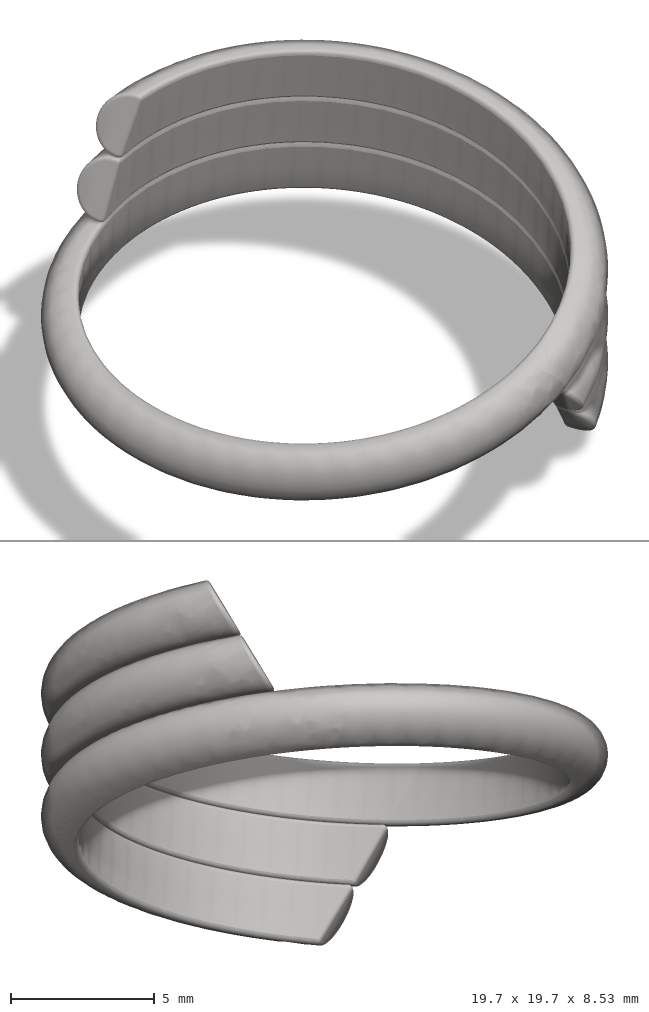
import cadquery as cq
import math

outer_radius = 9.86
inner_radius = 8.55
strand_width = 2.2
edge_radius = 0.14
end_tilt = 30.0
left_end_y = 0.0
right_end_y = -0.63
end_allowance = 13.0

cutter_length = 7.89
cutter_height = 6.31

pitch = 2 * strand_width
half_width = strand_width / 2
dome_center_radius = outer_radius - half_width
lower_start_z = -1.5 * strand_width
middle_start_z = -half_width
upper_start_z = half_width


def strand_profile(center_z):
    """D-shaped section in the XZ plane: flat bore side, domed outside."""
    return (
        cq.Workplane("XZ", origin=(0, 0, center_z))
        .moveTo(inner_radius, -half_width)
        .lineTo(inner_radius, half_width)
        .lineTo(dome_center_radius, half_width)
        .threePointArc((outer_radius, 0), (dome_center_radius, -half_width))
        .close()
    )


def long_strand(center_z, turn):
    """Untrimmed helical strand that starts at +X with its center at center_z."""
    swept_turn = turn + 2 * end_allowance
    start_z = center_z - pitch * end_allowance / 360
    helix = cq.Wire.makeHelix(pitch, pitch * swept_turn / 360, inner_radius)
    path = cq.Workplane(obj=helix.translate(cq.Vector(0, 0, start_z)))
    strand = strand_profile(start_z).sweep(path, isFrenet=True)
    return strand.rotate((0, 0, 0), (0, 0, 1), -end_allowance)


def end_cutter(side, center_z, direction):
    """Block beyond an end plane; side is +1 at +X or -1 at -X, direction the Y sign removed."""
    plane_y = right_end_y if side > 0 else left_end_y
    slide = center_z / math.cos(math.radians(end_tilt))
    return (
        cq.Workplane("XY")
        .box(outer_radius, cutter_length, cutter_height)
        .translate((side * outer_radius, direction * cutter_length / 2, slide))
        .rotate((0, 0, 0), (1, 0, 0), side * end_tilt)
        .translate((0, plane_y, 0))
    )


def bore_edges(strand):
    """The two long helical edges where the flat side meets the bore."""
    edges = []
    for edge in strand.edges().vals():
        middle = edge.positionAt(0.5)
        on_bore = math.hypot(middle.x, middle.y) < (inner_radius + dome_center_radius) / 2
        if on_bore and edge.Length() > inner_radius:
            edges.append(edge)
    return edges


def end_edges(strand, side, end_z):
    """Edges of the sloping end face nearest to the given side and level."""
    target = cq.Vector(side * dome_center_radius, 0, end_z)
    faces = strand.faces("%PLANE").vals()
    end_face = min(faces, key=lambda face: (face.Center() - target).Length)
    return end_face.Edges()


def round_strand(strand, free_ends):
    """Round the bore edges and every free end, given as (side, level) pairs."""
    edges = bore_edges(strand)
    for side, end_z in free_ends:
        edges += end_edges(strand, side, end_z)
    return strand.newObject(edges).fillet(edge_radius)


def half_turn_strand(start_z):
    """Strand around the back, from the right end plane to the left end plane."""
    strand = long_strand(start_z, 180)
    strand = strand.cut(end_cutter(1, start_z, -1))
    return strand.cut(end_cutter(-1, start_z + strand_width, -1))


def make_lower_strand():
    """Full turn with a free lower end; its upper end butts against the upper strand."""
    strand = long_strand(lower_start_z, 360)
    strand = strand.cut(end_cutter(1, lower_start_z, -1))
    strand = strand.cut(end_cutter(1, upper_start_z, 1))
    return round_strand(strand, [(1, lower_start_z)])


def make_middle_strand():
    """Half turn between the other two, with two free ends."""
    strand = half_turn_strand(middle_start_z)
    return round_strand(strand, [(1, middle_start_z), (-1, middle_start_z + strand_width)])


def make_upper_strand():
    """Half turn that carries the lower strand on to the free upper end."""
    strand = half_turn_strand(upper_start_z)
    return round_strand(strand, [(-1, upper_start_z + strand_width)])


lower_strand = make_lower_strand()
middle_strand = make_middle_strand()
upper_strand = make_upper_strand()

result = cq.Compound.makeCompound([lower_strand.val(), middle_strand.val(), upper_strand.val()])